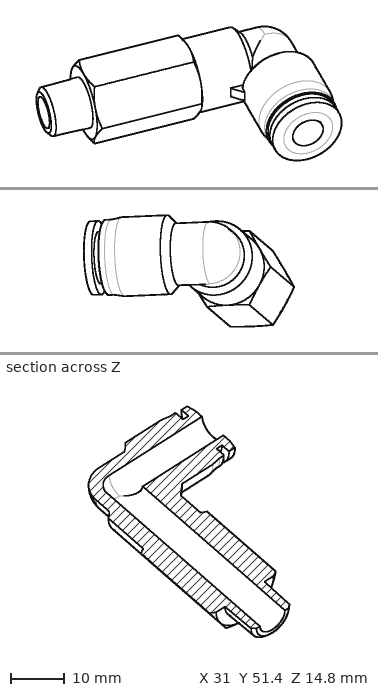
import cadquery as cq
import math

elbow_radius = 5.8
bore_radius = 3.05

neck_end = 3.8
sleeve_start = 5.05
hex_start = 15.0
hex_end = 36.05
thread_chamfer_start = 43.35
stud_end = 44.0

hex_across_flats = 14.1
hex_corner_radius = hex_across_flats / math.sqrt(3)
sleeve_radius = hex_across_flats / 2
hex_corner_chamfer = 0.6
thread_root_radius = 4.9
thread_tip_radius = 4.75
thread_end_radius = 3.95

socket_start = 6.15
socket_full = 7.7
socket_taper_start = 16.5
collar_start = 18.5
collar_chamfer_start = 19.6
socket_end = 19.75
flange_start = 20.95
flange_cone_start = 22.45
flange_end = 22.85

socket_radius = 7.4
collar_radius = 7.05
collar_end_radius = 6.8
release_neck_radius = 4.9
flange_radius = 6.9
flange_end_radius = 4.9

web_thickness = 2.05
web_reach = 9.05
web_drop = web_reach + socket_radius - sleeve_radius


def revolve_stud(profile):
    """Turn (radius, distance from elbow) points about the stud axis."""
    points = [(radius, -distance) for radius, distance in profile]
    return cq.Workplane("XY").polyline(points).close().revolve(360, (0, 0), (0, 1))


def make_stud():
    return revolve_stud([
        (0, 0),
        (elbow_radius, 0),
        (elbow_radius, neck_end),
        (sleeve_radius, sleeve_start),
        (sleeve_radius, hex_end),
        (thread_root_radius, hex_end),
        (thread_tip_radius, thread_chamfer_start),
        (thread_end_radius, stud_end),
        (0, stud_end),
    ])


def make_hexagon():
    """Hexagon with corners on the X axis and both ends turned to a chamfer."""
    prism = (
        cq.Workplane("XZ", origin=(0, -hex_start, 0))
        .polygon(6, 2 * hex_corner_radius)
        .extrude(hex_end - hex_start)
    )
    turned_envelope = revolve_stud([
        (0, hex_start),
        (sleeve_radius, hex_start),
        (hex_corner_radius, hex_start + hex_corner_chamfer),
        (hex_corner_radius, hex_end - hex_corner_chamfer),
        (sleeve_radius, hex_end),
        (0, hex_end),
    ])
    return prism.intersect(turned_envelope)


def make_socket():
    profile = [
        (0, 0),
        (0, elbow_radius),
        (socket_start, elbow_radius),
        (socket_full, socket_radius),
        (socket_taper_start, socket_radius),
        (collar_start, collar_radius),
        (collar_chamfer_start, collar_radius),
        (socket_end, collar_end_radius),
        (socket_end, release_neck_radius),
        (flange_start, release_neck_radius),
        (flange_start, flange_radius),
        (flange_cone_start, flange_radius),
        (flange_end, flange_end_radius),
        (flange_end, 0),
    ]
    return cq.Workplane("XY").polyline(profile).close().revolve(360, (0, 0), (1, 0))


def make_web():
    return (
        cq.Workplane("XY")
        .polyline([(0, 0), (web_reach, 0), (web_reach, -socket_radius),
                   (sleeve_radius, -web_drop), (0, -web_drop)])
        .close()
        .extrude(web_thickness / 2, both=True)
    )


def make_bore():
    """Passage from the stud end to the socket end, turning on a sphere at the elbow centre."""
    stud_bore = cq.Workplane("XZ").circle(bore_radius).extrude(stud_end)
    socket_bore = cq.Workplane("YZ").circle(bore_radius).extrude(flange_end)
    bend = cq.Workplane("XY").sphere(bore_radius)
    return stud_bore.union(socket_bore).union(bend)


elbow = cq.Workplane("XY").sphere(elbow_radius)
body = make_stud().union(make_hexagon()).union(make_socket()).union(elbow).union(make_web())
result = body.cut(make_bore())